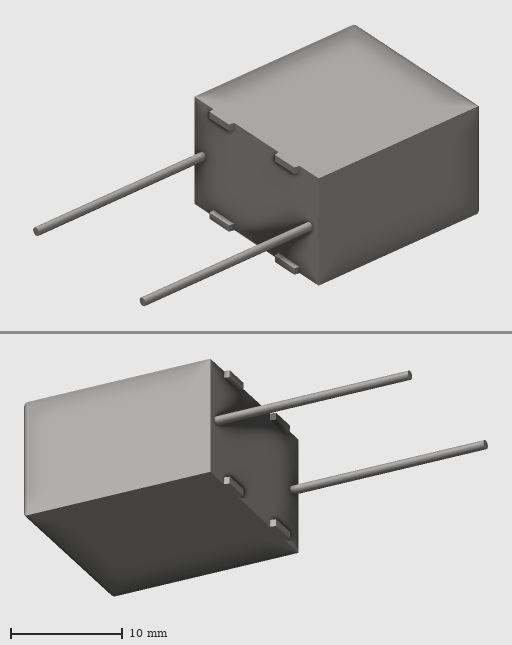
import cadquery as cq

overall_length = 38.5

housing_width = 17.5
housing_length = 18.98
housing_height = 11.5
back_edge_radius = 0.5

foot_spacing = 9.2
foot_base_width = 2.95
foot_tip_width = 2.75
foot_projection = 0.55
foot_height = 0.7

lead_spacing = 15.0
lead_diameter = 0.85
lead_length = overall_length - housing_length


def make_foot(center_x, bottom_z):
    """Standoff foot whose two sides taper from the lead face to the tip."""
    return (
        cq.Workplane("XY", origin=(center_x, 0, bottom_z))
        .moveTo(-foot_base_width / 2, 0)
        .lineTo(-foot_tip_width / 2, -foot_projection)
        .lineTo(foot_tip_width / 2, -foot_projection)
        .lineTo(foot_base_width / 2, 0)
        .close()
        .extrude(foot_height)
    )


def make_housing():
    """Rectangular box with a rounded rim at the back and four standoff feet."""
    housing = (
        cq.Workplane("XY")
        .box(housing_width, housing_length, housing_height, centered=(True, False, True))
        .faces(">Y")
        .edges()
        .fillet(back_edge_radius)
    )
    bottom_foot_z = -housing_height / 2
    top_foot_z = housing_height / 2 - foot_height
    for foot_x in (-foot_spacing / 2, foot_spacing / 2):
        for foot_z in (bottom_foot_z, top_foot_z):
            housing = housing.union(make_foot(foot_x, foot_z))
    return housing


def make_lead(center_x):
    """Straight round wire that butts against the lead face."""
    return (
        cq.Workplane("XZ", origin=(center_x, 0, 0))
        .circle(lead_diameter / 2)
        .extrude(lead_length)
    )


housing = make_housing()
leads = [make_lead(lead_x) for lead_x in (-lead_spacing / 2, lead_spacing / 2)]

result = cq.Compound.makeCompound([housing.val(), *[lead.val() for lead in leads]])